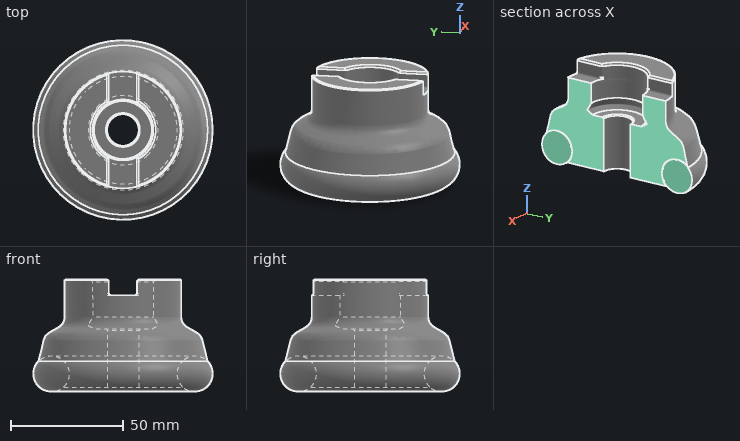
import cadquery as cq
import math

edge_band = 0.1

total_height = 50.0
outer_radius = 40.0

ring_section_radius = 8.0
ring_center_radius = outer_radius - ring_section_radius
ring_center_height = ring_section_radius

holder_bottom = 2.0
neck_radius = 52.0 / 2
neck_edge_chamfer = 0.5
shoulder_start_height = 30.25
shoulder_slope = 30.0
flank_taper = 13.8
flank_radius = 37.5
flank_height = 14.5
neck_fillet = 5.0
shoulder_fillet = 5.5

entry_radius = 27.2 / 2
entry_chamfer = 1.0
entry_depth = 7.0
bore_radius = 27.01 / 2
bore_lead_in = 1.2
bore_end_depth = 16.6
seat_radius = 12.85
relief_tilt = 30.0
relief_corner_depth = 20.4
relief_fillet = 0.4

screw_hole_radius = 14.0 / 2
screw_hole_chamfer = 0.6

slot_width = 12.4
slot_depth = 7.0
slot_edge_chamfer = 0.9
slot_floor_fillet = 0.75
slot_corner_fillet = 1.4


def revolve_profile(profile):
    """Turn a closed (radius, height) profile about the Z axis."""
    return profile.close().revolve(360, (0, 0, 0), (0, 1, 0))


def edges_at_height(height):
    """Selector for the edges that lie at one height."""
    return cq.selectors.BoxSelector(
        (-outer_radius, -outer_radius, height - edge_band),
        (outer_radius, outer_radius, height + edge_band),
    )


def make_ring():
    """Full torus standing on the base plane."""
    return (
        cq.Workplane("XZ")
        .center(ring_center_radius, ring_center_height)
        .circle(ring_section_radius)
        .revolve(360, (-ring_center_radius, 0, 0), (-ring_center_radius, 1, 0))
    )


def make_outline():
    """Solid of revolution with neck, sloped shoulder and tapered flank."""
    shoulder_fall = math.tan(math.radians(shoulder_slope))
    flank_flare = math.tan(math.radians(flank_taper))
    axis_height = shoulder_start_height + neck_radius * shoulder_fall
    flank_base_radius = flank_radius + flank_height * flank_flare
    corner_height = (axis_height - flank_base_radius * shoulder_fall) / (1 - flank_flare * shoulder_fall)
    corner_radius = flank_base_radius - corner_height * flank_flare
    flank_end_radius = flank_base_radius - ring_center_height * flank_flare

    outline = revolve_profile(
        cq.Workplane("XZ")
        .moveTo(0, holder_bottom)
        .lineTo(ring_center_radius, holder_bottom)
        .lineTo(ring_center_radius, ring_center_height)
        .lineTo(flank_end_radius, ring_center_height)
        .lineTo(corner_radius, corner_height)
        .lineTo(neck_radius, shoulder_start_height)
        .lineTo(neck_radius, total_height)
        .lineTo(0, total_height)
    )
    outline = outline.faces(">Z").edges().chamfer(neck_edge_chamfer)
    outline = outline.edges(edges_at_height(shoulder_start_height)).fillet(neck_fillet)
    return outline.edges(edges_at_height(corner_height)).fillet(shoulder_fillet)


def make_bore():
    """Stepped bore with lead-in, relief groove at its seat and the screw hole below."""
    top = total_height
    tilt = math.radians(relief_tilt)
    corner_radius = bore_radius + (relief_corner_depth - bore_end_depth) * math.tan(tilt)
    corner = cq.Vector(corner_radius, top - relief_corner_depth)
    up_wall = cq.Vector(-math.sin(tilt), math.cos(tilt)) * relief_fillet
    along_floor = cq.Vector(-math.cos(tilt), -math.sin(tilt)) * relief_fillet
    round_start = corner + up_wall
    round_middle = corner + (up_wall + along_floor) * (1 - math.sqrt(0.5))
    round_end = corner + along_floor
    seat_height = corner.y - (corner_radius - seat_radius) * math.tan(tilt)
    return revolve_profile(
        cq.Workplane("XZ")
        .moveTo(0, top)
        .lineTo(entry_radius + entry_chamfer, top)
        .lineTo(entry_radius, top - entry_chamfer)
        .lineTo(entry_radius, top - entry_depth)
        .lineTo(bore_radius, top - entry_depth - bore_lead_in)
        .lineTo(bore_radius, top - bore_end_depth)
        .lineTo(round_start.x, round_start.y)
        .threePointArc(round_middle.toTuple()[:2], round_end.toTuple()[:2])
        .lineTo(seat_radius, seat_height)
        .lineTo(screw_hole_radius + screw_hole_chamfer, seat_height)
        .lineTo(screw_hole_radius, seat_height - screw_hole_chamfer)
        .lineTo(screw_hole_radius, holder_bottom)
        .lineTo(0, holder_bottom)
    )


def make_slot():
    """Cutter for the drive slot: rounded floor corners and chamfered mouth."""
    half_width = slot_width / 2
    mouth = half_width + slot_edge_chamfer
    floor = total_height - slot_depth
    return (
        cq.Workplane("XZ")
        .moveTo(-mouth, total_height)
        .lineTo(-half_width, total_height - slot_edge_chamfer)
        .lineTo(-half_width, floor)
        .lineTo(half_width, floor)
        .lineTo(half_width, total_height - slot_edge_chamfer)
        .lineTo(mouth, total_height)
        .close()
        .extrude(neck_radius, both=True)
        .faces("<Z").edges("|Y").fillet(slot_floor_fillet)
    )


def make_corner_rounding():
    """Cutter that rounds the upright corners between slot walls and bore, above the floor fillets."""
    base = total_height - slot_depth + slot_floor_fillet
    height = total_height - base
    corner_y = math.sqrt(entry_radius**2 - (slot_width / 2) ** 2)
    slot_length = 2 * (corner_y + slot_corner_fillet)
    entry = cq.Workplane("XY").workplane(offset=base).circle(entry_radius).extrude(height)
    slot = cq.Workplane("XY").workplane(offset=base).rect(slot_width, slot_length).extrude(height)
    corner_zone = cq.selectors.BoxSelector(
        (-entry_radius, -corner_y - edge_band, base),
        (entry_radius, corner_y + edge_band, total_height),
    )
    return entry.union(slot).edges("|Z").edges(corner_zone).fillet(slot_corner_fillet)


ring = make_ring()
holder = make_outline().cut(make_slot()).cut(make_bore()).cut(make_corner_rounding()).cut(ring)

result = cq.Compound.makeCompound([holder.val(), ring.val()])